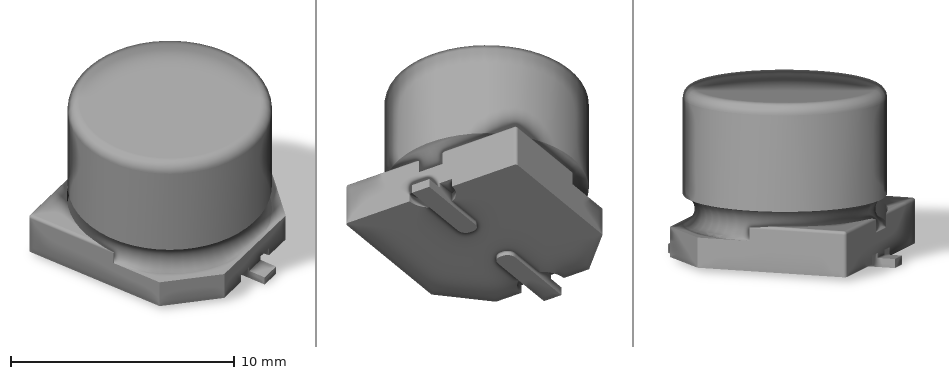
import cadquery as cq
import math

length = 10.83
height = 7.86
base_width = 9.16

base_bottom = 0.23
floor_height = 1.6
rim_height = 2.31
corner_chamfer = 2.09
rim_fillet = 0.14
rim_end_x = 0.02

seat_radius = 4.57
seat_offset_x = -0.05

can_radius = base_width / 2
groove_top = 2.98
groove_depth = 0.53
can_fillet = 0.49

lead_width = 0.93
lead_thickness = 0.41
lead_inner_x = 1.22
lead_end_fillet = 0.41
recess_radius = 1.14
recess_top = 0.63


def block(x_min, x_max, width, z_min, z_max):
    """Box centred on the XZ plane."""
    return cq.Workplane("XY").box(
        x_max - x_min, width, z_max - z_min, centered=(False, True, False)
    ).translate((x_min, 0, z_min))


def make_floor():
    """Lower part of the base, chamfered at the two +X corners, rounded at the other two."""
    half = base_width / 2
    floor = block(-half, half, base_width, base_bottom, floor_height)
    floor = floor.edges("|Z and >X").chamfer(corner_chamfer)
    return floor.edges("|Z and <X").fillet(rim_fillet)


def make_rim():
    """Raised -X half of the base, left standing around the round seat."""
    rim = block(-base_width / 2, rim_end_x, base_width, base_bottom, rim_height)
    rim = rim.edges("|Z and <X").fillet(rim_fillet)
    rim = rim.faces(">Z").edges("not >X").fillet(rim_fillet)
    seat = (
        cq.Workplane("XY", origin=(seat_offset_x, 0, floor_height))
        .circle(seat_radius)
        .extrude(rim_height - floor_height)
    )
    return rim.cut(seat)


def make_can():
    """Revolved can with a rounded top edge and an arc-shaped groove above the floor."""
    fillet_middle = can_fillet * (1 - math.sqrt(0.5))
    groove_middle = (floor_height + groove_top) / 2
    return (
        cq.Workplane("XZ")
        .moveTo(0, floor_height)
        .lineTo(can_radius, floor_height)
        .threePointArc((can_radius - groove_depth, groove_middle), (can_radius, groove_top))
        .lineTo(can_radius, height - can_fillet)
        .threePointArc(
            (can_radius - fillet_middle, height - fillet_middle),
            (can_radius - can_fillet, height),
        )
        .lineTo(0, height)
        .close()
        .revolve(360, (0, 0), (0, 1))
    )


def make_lead():
    """Flat lead on the -X side, rounded at its inner end."""
    lead = block(-length / 2, -lead_inner_x, lead_width, 0, lead_thickness)
    return lead.edges("|Z and >X").fillet(lead_end_fillet)


def make_recess():
    """Semicircular recess under the -X wall, split by a rib as wide as the lead."""
    recess = (
        cq.Workplane("XY", origin=(-base_width / 2, 0, base_bottom))
        .circle(recess_radius)
        .extrude(recess_top - base_bottom)
    )
    rib = block(-base_width / 2 - recess_radius, 0, lead_width, base_bottom, recess_top)
    return recess.cut(rib)


def on_both_sides(shape):
    """The shape together with its mirror image on the +X side."""
    return shape.union(shape.mirror("YZ"))


base = make_floor().union(make_rim()).cut(on_both_sides(make_recess()))
result = base.union(make_can()).union(on_both_sides(make_lead()))